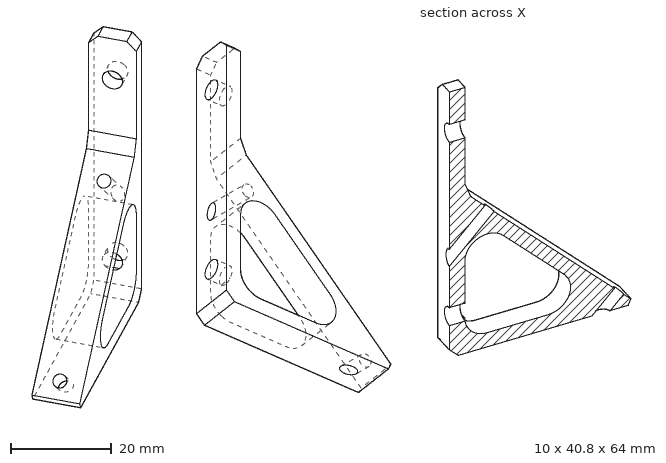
import cadquery as cq
import math

WIDTH = 10.0
DEPTH = 40.8
HEIGHT = 64.0

WALL = 3.5
CORNER_CHAMFER = 2.0

TOE_HEIGHT = 1.4
TOE_SETBACK = 0.65
SLOPE_TOP_DEPTH = 4.9
SLOPE_TOP_HEIGHT = DEPTH + TOE_HEIGHT - SLOPE_TOP_DEPTH
KINK_HEIGHT = 40.8

WINDOW_REACH = 27.15
WINDOW_RADIUS = 5.0

MOUNT_DIAMETER = 4.2
MOUNT_INSET = 10.0

SLOPE_HOLE_DIAMETER = 2.8
SLOPE_HOLE_DEPTHS = (9.0, 38.1)


def side_prism(points):
    """Extrude an outline of (distance from back, height) across the width."""
    outline = [(-depth, height) for depth, height in points]
    return cq.Workplane("YZ").polyline(outline).close().extrude(WIDTH / 2, both=True)


def make_body():
    return side_prism([
        (CORNER_CHAMFER, 0),
        (DEPTH - TOE_SETBACK, 0),
        (DEPTH, TOE_HEIGHT),
        (SLOPE_TOP_DEPTH, SLOPE_TOP_HEIGHT),
        (WALL, KINK_HEIGHT),
        (WALL, HEIGHT),
        (0, HEIGHT),
        (0, CORNER_CHAMFER),
    ])


def chamfer_top_corners(body):
    return body.faces(">Z").edges("|Y").chamfer(CORNER_CHAMFER)


def make_window():
    near_center = WALL + WINDOW_RADIUS
    far_center = WINDOW_REACH - WINDOW_RADIUS
    hypotenuse_sum = near_center + far_center + WINDOW_RADIUS * math.sqrt(2)
    leg_end = hypotenuse_sum - WALL
    triangle = side_prism([(WALL, WALL), (leg_end, WALL), (WALL, leg_end)])
    return triangle.edges("|X").fillet(WINDOW_RADIUS)


def make_mount_hole(height):
    return cq.Workplane(cq.Solid.makeCylinder(
        MOUNT_DIAMETER / 2, WALL, cq.Vector(0, 0, height), cq.Vector(0, -1, 0)))


def make_slope_hole(depth):
    """Through hole running from the sloped face down toward the back."""
    height = DEPTH + TOE_HEIGHT - depth
    return cq.Workplane(cq.Solid.makeCylinder(
        SLOPE_HOLE_DIAMETER / 2, DEPTH, cq.Vector(0, -depth, height), cq.Vector(0, 1, -1)))


result = chamfer_top_corners(make_body()).cut(make_window())
for mount_height in (MOUNT_INSET, HEIGHT - MOUNT_INSET):
    result = result.cut(make_mount_hole(mount_height))
for hole_depth in SLOPE_HOLE_DEPTHS:
    result = result.cut(make_slope_hole(hole_depth))